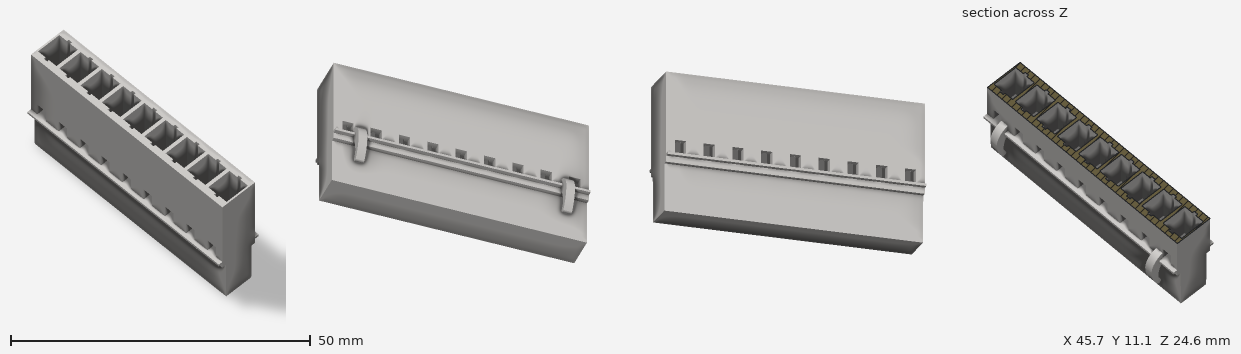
import cadquery as cq

length = 45.7
height = 24.55
contact_count = 9
pitch = length / contact_count

body_width = 7.65
body_bottom = 8.4
plug_width = 6.05
plug_end_width = 5.85
rib_width = 9.3
rib_bottom = 9.5
rib_top = 9.95

pocket_length = 4.4
pocket_width = 5.0
key_length = 0.8
key_span = 5.8
pocket_floor = rib_top
window_length = 2.0
window_top = 12.55

hook_thickness = 1.55
hook_end_distance = 4.25
hook_overhang = 1.75
hook_crest_y = rib_width / 2 + hook_overhang
hook_crest_z = 8.25
hook_root_z = 11.35
hook_embed = 0.45


def block(size_x, size_y, bottom, top):
    """Box centred on X and Y between two heights."""
    return (
        cq.Workplane("XY")
        .workplane(offset=bottom)
        .rect(size_x, size_y)
        .extrude(top - bottom)
    )


def plug():
    """Lower block, narrowing slightly in Y towards its bottom face."""
    return (
        cq.Workplane("XY")
        .rect(length, plug_end_width)
        .workplane(offset=body_bottom)
        .rect(length, plug_width)
        .loft(ruled=True)
    )


def contact_cavity():
    """Pocket, its two opposite key slots and the window through both walls."""
    pocket = block(pocket_length, pocket_width, pocket_floor, height)
    keys = block(key_length, key_span, pocket_floor, height)
    window = block(window_length, body_width, pocket_floor, window_top)
    return pocket.union(keys).union(window)


def latch_hook():
    """Curved latch that leaves the +Y wall and curls down and back to a rounded tip."""
    wall_y = body_width / 2
    inside_y = wall_y - hook_embed
    reach = hook_crest_y - wall_y
    rise = hook_root_z - hook_crest_z
    back_radius = (reach**2 + rise**2) / (2 * reach)
    tip_outer = (5.0, 4.02)
    tip_end = (4.4, 4.02)
    tip_inner = (4.25, 4.65)
    throat_bottom = (4.75, 5.45)
    throat_middle = (4.75, 6.85)
    throat_top = (4.25, body_bottom)
    return (
        cq.Workplane("YZ")
        .moveTo(inside_y, hook_root_z)
        .lineTo(wall_y, hook_root_z)
        .radiusArc((hook_crest_y, hook_crest_z), back_radius)
        .tangentArcPoint(tip_outer, relative=False)
        .threePointArc(tip_end, tip_inner)
        .lineTo(*throat_bottom)
        .threePointArc(throat_middle, throat_top)
        .lineTo(inside_y, body_bottom)
        .close()
        .extrude(hook_thickness / 2, both=True)
    )


result = block(length, body_width, body_bottom, height)
result = result.union(plug())
result = result.union(block(length, rib_width, rib_bottom, rib_top))

for side in (-1, 1):
    hook_x = side * (length / 2 - hook_end_distance)
    result = result.union(latch_hook().translate((hook_x, 0, 0)))

for index in range(contact_count):
    cavity_x = (index - (contact_count - 1) / 2) * pitch
    result = result.cut(contact_cavity().translate((cavity_x, 0, 0)))